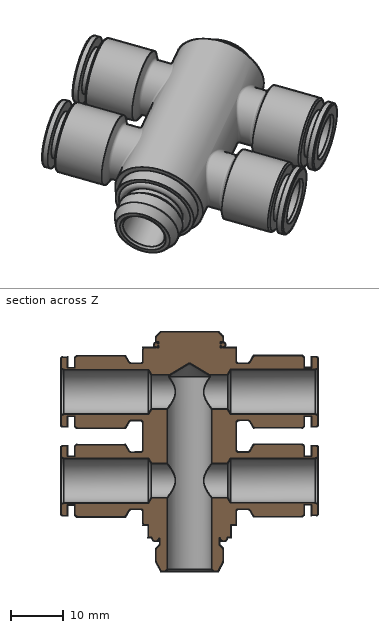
import cadquery as cq
import math

barrel_diameter = 18.0
barrel_length = 34.1
barrel_half = barrel_length / 2

spigot_length = 8.95
collar_diameter = 16.0
collar_length = 2.4
relief_diameter = 11.6
relief_length = 1.4
spigot_diameter = 13.05
spigot_tip_diameter = 11.0
spigot_taper_length = 1.95
seal_wire_diameter = 1.5

plug_length = 3.05
plug_diameter = spigot_diameter
plug_chamfer = 1.0
ring_groove_diameter = 11.95
ring_groove_width = 1.05
ring_inner_diameter = 11.85
ring_wire_diameter = 1.0
ring_gap = 0.5

bore_diameter = 8.5
bore_mouth_diameter = 9.4
bore_end_y = 11.45
drill_point_angle = 118.0

port_reach = 24.7
port_spacing = barrel_half
flange_diameter = 13.5
flange_thickness = 1.3
flange_chamfer = 0.25
sleeve_diameter = 9.4
sleeve_length = 1.4
shell_diameter = 14.0
shell_length = 9.75
shell_chamfer = 0.35
shoulder_angle = 60.0
neck_diameter = 11.0
neck_fillet = 0.5
barrel_joint_fillet = 0.4
socket_diameter = 8.5
socket_mouth_chamfer = 0.25
socket_mouth_depth = 0.6
socket_depth = 16.8
passage_diameter = 6.5

flange_back_x = port_reach - flange_thickness
shell_outer_x = flange_back_x - sleeve_length
shell_inner_x = shell_outer_x - shell_length

drill_slope = math.tan(math.radians(drill_point_angle / 2))


def revolve_about_y(outline):
    """Turn an outline of (radius, y) points around the Y axis."""
    return cq.Workplane("XY").polyline(outline).close().revolve(360, (0, 0), (0, 1))


def revolve_about_x(outline):
    """Turn an outline of (x, radius) points around the X axis."""
    return cq.Workplane("XY").polyline(outline).close().revolve(360, (0, 0), (1, 0))


def wire_ring(inner_diameter, wire_diameter, y):
    """A round-section ring around the Y axis."""
    centre_radius = (inner_diameter + wire_diameter) / 2
    return (
        cq.Workplane("XY")
        .center(centre_radius, y)
        .circle(wire_diameter / 2)
        .revolve(360, (-centre_radius, 0), (-centre_radius, 1))
    )


def barrel():
    """Plain cylinder that carries the ports."""
    return cq.Workplane("XZ", origin=(0, barrel_half, 0)).circle(barrel_diameter / 2).extrude(barrel_length)


def front_spigot():
    """Collar, relief groove with its seal ring, and tapered spigot."""
    collar_y = -barrel_half - collar_length
    relief_y = collar_y - relief_length
    thread_y = relief_y - (spigot_diameter - relief_diameter) / 2
    tip_y = -barrel_half - spigot_length
    spigot = revolve_about_y([
        (0, -barrel_half),
        (collar_diameter / 2, -barrel_half),
        (collar_diameter / 2, collar_y),
        (relief_diameter / 2, collar_y),
        (relief_diameter / 2, relief_y),
        (spigot_diameter / 2, thread_y),
        (spigot_diameter / 2, tip_y + spigot_taper_length),
        (spigot_tip_diameter / 2, tip_y),
        (0, tip_y),
    ])
    return spigot.union(wire_ring(relief_diameter, seal_wire_diameter, collar_y))


def rear_plug():
    """Chamfered plug with a groove that holds the split snap ring."""
    groove_y = barrel_half + ring_groove_width
    tip_y = barrel_half + plug_length
    plug = revolve_about_y([
        (0, barrel_half),
        (ring_groove_diameter / 2, barrel_half),
        (ring_groove_diameter / 2, groove_y),
        (plug_diameter / 2, groove_y),
        (plug_diameter / 2, tip_y - plug_chamfer),
        (plug_diameter / 2 - plug_chamfer, tip_y),
        (0, tip_y),
    ])
    ring_y = barrel_half + ring_groove_width / 2
    ring = wire_ring(ring_inner_diameter, ring_wire_diameter, ring_y)
    gap = (
        cq.Workplane("XY")
        .center(0, ring_y)
        .rect(ring_gap, 2 * ring_wire_diameter)
        .extrude(barrel_diameter)
    )
    return plug.union(ring.cut(gap))


def port_outside():
    """Outside of one port on the +X side, axis on X."""
    shell_radius = shell_diameter / 2
    neck_radius = neck_diameter / 2
    flange_radius = flange_diameter / 2
    shoulder_x = shell_inner_x - (shell_radius - neck_radius) / math.tan(math.radians(shoulder_angle))
    port = revolve_about_x([
        (0, 0),
        (0, neck_radius),
        (shoulder_x, neck_radius),
        (shell_inner_x, shell_radius),
        (shell_outer_x - shell_chamfer, shell_radius),
        (shell_outer_x, shell_radius - shell_chamfer),
        (shell_outer_x, sleeve_diameter / 2),
        (flange_back_x, sleeve_diameter / 2),
        (flange_back_x, flange_radius),
        (port_reach - flange_chamfer, flange_radius),
        (port_reach, flange_radius - flange_chamfer),
        (port_reach, 0),
    ])
    margin = shell_chamfer / 2
    shoulder_edge = cq.selectors.BoxSelector(
        (shoulder_x - margin, -shell_radius, -shell_radius),
        (shoulder_x + margin, shell_radius, shell_radius),
    )
    return port.edges(shoulder_edge).fillet(neck_fillet)


def port_inside():
    """Hollow of one port on the +X side: chamfered mouth, tube socket and passage to the bore."""
    socket_radius = socket_diameter / 2
    passage_radius = passage_diameter / 2
    socket_end_x = port_reach - socket_depth
    return revolve_about_x([
        (0, 0),
        (0, passage_radius),
        (socket_end_x - (socket_radius - passage_radius) / drill_slope, passage_radius),
        (socket_end_x, socket_radius),
        (port_reach - socket_mouth_depth, socket_radius),
        (port_reach, socket_radius + socket_mouth_chamfer),
        (port_reach, 0),
    ])


def main_bore():
    """Blind bore with a 45-degree mouth chamfer and a drill-point end."""
    bore_radius = bore_diameter / 2
    mouth_radius = bore_mouth_diameter / 2
    mouth_y = -barrel_half - spigot_length
    return revolve_about_y([
        (0, mouth_y),
        (mouth_radius, mouth_y),
        (bore_radius, mouth_y + mouth_radius - bore_radius),
        (bore_radius, bore_end_y),
        (0, bore_end_y + bore_radius / drill_slope),
    ])


def at_all_ports(shape):
    """Copies of a +X port shape at the two stations on both sides."""
    copies = []
    for turn in (0, 180):
        for y in (-port_spacing / 2, port_spacing / 2):
            copies.append(shape.rotate((0, 0, 0), (0, 0, 1), turn).translate((0, y, 0)))
    return copies


def round_barrel_joints(solid):
    """Fillet the saddle curves where the four necks run into the barrel."""
    neck_radius = neck_diameter / 2
    barrel_radius = barrel_diameter / 2
    saddle_x = math.sqrt(barrel_radius**2 - neck_radius**2)
    margin = 0.5
    for side in (-1, 1):
        for y in (-port_spacing / 2, port_spacing / 2):
            around_joint = cq.selectors.BoxSelector(
                (side * (saddle_x - margin), y - neck_radius - margin, -neck_radius - margin),
                (side * (barrel_radius + margin), y + neck_radius + margin, neck_radius + margin),
            )
            nearby = solid.edges(around_joint).vals()
            saddle = [edge for edge in nearby if edge.geomType() not in ("LINE", "CIRCLE")]
            solid = solid.newObject(saddle).fillet(barrel_joint_fillet)
    return solid


body = barrel()
for port in at_all_ports(port_outside()):
    body = body.union(port)
body = round_barrel_joints(body)

body = body.union(front_spigot()).union(rear_plug())
body = body.cut(main_bore())
for hollow in at_all_ports(port_inside()):
    body = body.cut(hollow)

result = body